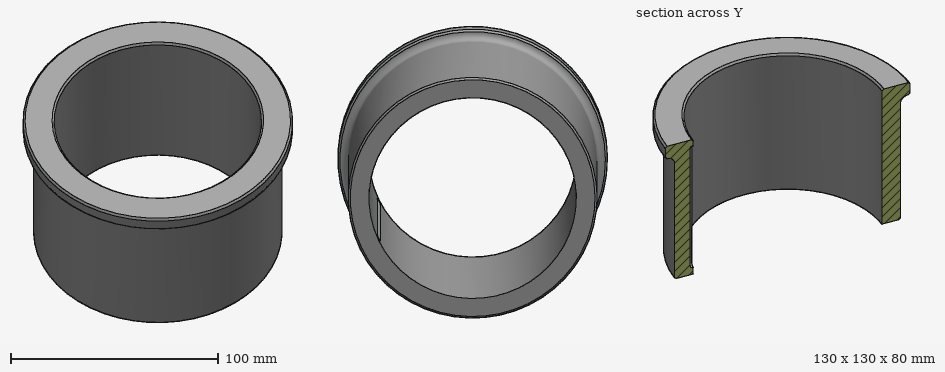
import cadquery as cq

flange_diameter = 130.0
body_diameter = 120.0
bore_diameter = 100.0
total_height = 80.0
flange_thickness = 7.5
edge_chamfer = 1.0
body_end_chamfer_width = 1.0
body_end_chamfer_height = 0.8
groove_diameter = 3.2
groove_end_margin = 4.0

flange_radius = flange_diameter / 2
body_radius = body_diameter / 2
bore_radius = bore_diameter / 2
flange_bottom = total_height - flange_thickness
neck_radius = flange_radius - edge_chamfer - body_radius

section = (
    cq.Workplane("XZ")
    .moveTo(bore_radius, 0)
    .lineTo(body_radius - body_end_chamfer_width, 0)
    .lineTo(body_radius, body_end_chamfer_height)
    .lineTo(body_radius, flange_bottom - neck_radius)
    .radiusArc((body_radius + neck_radius, flange_bottom), neck_radius)
    .lineTo(flange_radius, flange_bottom + edge_chamfer)
    .lineTo(flange_radius, total_height - edge_chamfer)
    .lineTo(flange_radius - edge_chamfer, total_height)
    .lineTo(bore_radius + edge_chamfer, total_height)
    .lineTo(bore_radius, total_height - edge_chamfer)
    .close()
)

bushing = section.revolve(360, (0, 0, 0), (0, 1, 0))

groove_radius = groove_diameter / 2
groove_length = total_height - 2 * groove_end_margin
ball_offset = groove_length / 2 - groove_radius
groove = (
    cq.Workplane("XZ", origin=(bore_radius, 0, total_height / 2))
    .moveTo(0, -groove_length / 2)
    .radiusArc((groove_radius, -ball_offset), -groove_radius)
    .lineTo(groove_radius, ball_offset)
    .radiusArc((0, groove_length / 2), -groove_radius)
    .close()
    .revolve(360, (0, 0, 0), (0, 1, 0))
)

result = bushing.cut(groove)